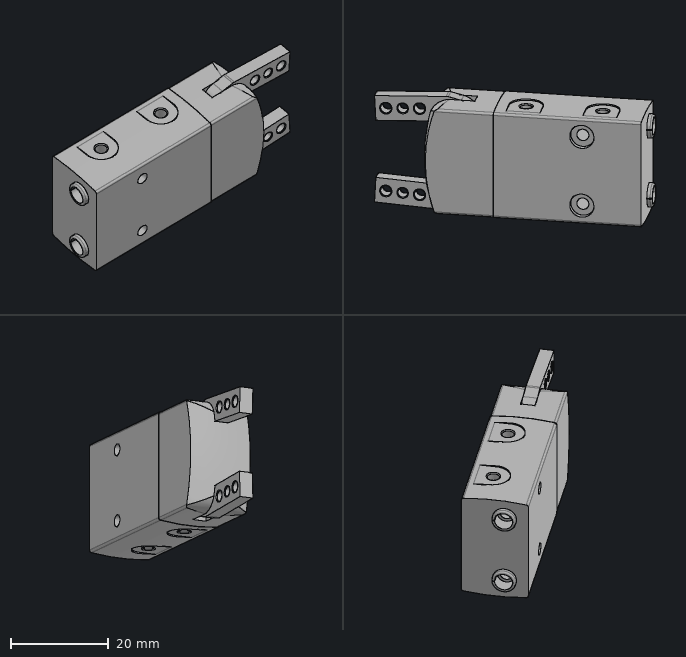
import cadquery as cq
import math

REAR_Y = 1.1
STEP_Y = 31.9
SLOT_END_Y = 36.75
FRONT_Y = 47.2
TIP_Y = 57.7

WIDTH = 14.0
CREST_Z = 11.9
HEAD_WIDTH = 13.8
HEAD_CREST_Z = 11.85
CROWN_RADIUS = 51.95
CORNER_RADIUS = 0.5

DOME_SIDE_RADIUS = 35.8
DOME_PLAN_RADIUS = 21.95
FRONT_ROUNDING = 4.75

PORT_X = 2.0
PORT_Z = 7.5
PORT_DIAMETER = 2.5
SLEEVE_DIAMETER = 5.0
SLEEVE_BORE = 3.75
SLEEVE_LENGTH = 3.0
SLEEVE_LIP_RADIUS = 0.4
SLEEVE_SLIT = 0.2

CROSS_Y = 13.45
COUNTERBORE_DEPTH = 1.2

PAD_X = -2.0
PAD_RADIUS = 3.5
PAD_LEFT_X = -5.5
PAD_STATIONS = (10.0, 25.95)
PAD_HOLE_DIAMETER = 2.5
PAD_HOLE_DEPTH = 4.6
PAD_CHAMFER = 0.25
DRILL_POINT_ANGLE = 118.0

FINGER_WIDTH = 3.0
FINGER_HEIGHT = 5.4
FINGER_ANGLE = math.radians(3.0)
FINGER_CREST_Z = 12.4
CREST_FRONT_Y = 42.75
CREST_REAR_Y = 42.3
HEEL_START_Y = 39.6
HEEL_SLOPE = math.radians(13.0)
HEEL_RADIUS = 4.05
FIRST_HOLE = 2.25
HOLE_PITCH = 3.5
FINGER_HOLE_DIAMETERS = (2.2, 2.0, 2.2)
FINGER_CHAMFER = 0.2

SIDES = (1, -1)


def crown_z(x, crest_z):
    """Height of a crowned top at a distance x from its crest."""
    return crest_z - CROWN_RADIUS + math.sqrt(CROWN_RADIUS**2 - x**2)


def crowned_bar(width, crest_z, start_y, end_y):
    """Bar along Y with flat sides, bulging top and bottom and rounded corners."""
    half_width = width / 2
    edge_z = crown_z(half_width, crest_z)
    return (
        cq.Workplane("XZ", origin=(0, start_y, 0))
        .moveTo(-half_width, -edge_z)
        .threePointArc((0, -crest_z), (half_width, -edge_z))
        .lineTo(half_width, edge_z)
        .threePointArc((0, crest_z), (-half_width, edge_z))
        .close()
        .extrude(start_y - end_y)
        .edges("|Y")
        .fillet(CORNER_RADIUS)
    )


def dome_outline(plane, half_height, rear_y):
    """Side outline of the head, with an arc as its front."""
    arc_end_y = FRONT_Y - DOME_SIDE_RADIUS + math.sqrt(DOME_SIDE_RADIUS**2 - half_height**2)
    return (
        plane
        .moveTo(rear_y, -half_height)
        .lineTo(arc_end_y, -half_height)
        .threePointArc((FRONT_Y, 0), (arc_end_y, half_height))
        .lineTo(rear_y, half_height)
        .close()
    )


def head():
    """Slightly slimmer head whose front is domed both ways and rounded off at top and bottom."""
    axis_y = FRONT_Y - DOME_PLAN_RADIUS
    rounded_front = (
        dome_outline(cq.Workplane("YZ"), HEAD_CREST_Z, STEP_Y)
        .extrude(WIDTH / 2, both=True)
        .edges("|X")
        .edges(">Y")
        .fillet(FRONT_ROUNDING)
    )
    dome = dome_outline(cq.Workplane("YZ"), CREST_Z, axis_y).revolve(360, (axis_y, 0), (axis_y, 1))
    return crowned_bar(HEAD_WIDTH, HEAD_CREST_Z, STEP_Y, TIP_Y).intersect(rounded_front).intersect(dome)


def finger_profile():
    """Upper finger outline in the YZ plane, from its tip back to the slot end."""
    tilt_sin = math.sin(FINGER_ANGLE)
    tilt_cos = math.cos(FINGER_ANGLE)
    tip_z = FINGER_CREST_Z - (TIP_Y - CREST_FRONT_Y) * math.tan(FINGER_ANGLE)
    under_tip_y = TIP_Y - FINGER_HEIGHT * tilt_sin
    under_tip_z = tip_z - FINGER_HEIGHT * tilt_cos
    under_end_z = under_tip_z + (under_tip_y - SLOT_END_Y) * math.tan(FINGER_ANGLE)

    heel_start_z = FINGER_CREST_Z - (CREST_REAR_Y - HEEL_START_Y) * math.tan(HEEL_SLOPE)
    heel_y = HEEL_START_Y + HEEL_RADIUS * math.sin(HEEL_SLOPE)
    heel_z = heel_start_z - HEEL_RADIUS * math.cos(HEEL_SLOPE)
    heel_end_angle = math.asin((heel_y - SLOT_END_Y) / HEEL_RADIUS)
    heel_mid_angle = (HEEL_SLOPE + heel_end_angle) / 2

    def heel_point(angle):
        return (heel_y - HEEL_RADIUS * math.sin(angle), heel_z + HEEL_RADIUS * math.cos(angle))

    return (
        cq.Workplane("YZ")
        .moveTo(TIP_Y, tip_z)
        .lineTo(CREST_FRONT_Y, FINGER_CREST_Z)
        .lineTo(CREST_REAR_Y, FINGER_CREST_Z)
        .lineTo(HEEL_START_Y, heel_start_z)
        .threePointArc(heel_point(heel_mid_angle), heel_point(heel_end_angle))
        .lineTo(SLOT_END_Y, under_end_z)
        .lineTo(under_tip_y, under_tip_z)
        .close()
    )


def finger_hole(index, diameter):
    """Cutter for one cross hole of the upper finger, widening at both faces."""
    along = FIRST_HOLE + index * HOLE_PITCH
    tip_z = FINGER_CREST_Z - (TIP_Y - CREST_FRONT_Y) * math.tan(FINGER_ANGLE)
    down = FINGER_HEIGHT / 2
    hole_y = TIP_Y - along * math.cos(FINGER_ANGLE) - down * math.sin(FINGER_ANGLE)
    hole_z = tip_z + along * math.sin(FINGER_ANGLE) - down * math.cos(FINGER_ANGLE)
    half_width = FINGER_WIDTH / 2
    radius = diameter / 2
    return (
        cq.Workplane("XY")
        .moveTo(-half_width, 0)
        .lineTo(-half_width, radius + FINGER_CHAMFER)
        .lineTo(-half_width + FINGER_CHAMFER, radius)
        .lineTo(half_width - FINGER_CHAMFER, radius)
        .lineTo(half_width, radius + FINGER_CHAMFER)
        .lineTo(half_width, 0)
        .close()
        .revolve(360, (0, 0), (1, 0))
        .translate((0, hole_y, hole_z))
    )


def finger(side):
    """Gripper finger on the upper (+1) or lower (-1) side."""
    body = finger_profile().extrude(FINGER_WIDTH / 2, both=True)
    for index, diameter in enumerate(FINGER_HOLE_DIAMETERS):
        body = body.cut(finger_hole(index, diameter))
    if side < 0:
        body = body.mirror("XY")
    return body


def finger_slot(side):
    """Cutter for a finger's slot: floor along its underside, open at the front and outward."""
    slope = math.tan(FINGER_ANGLE)
    tip_z = FINGER_CREST_Z - (TIP_Y - CREST_FRONT_Y) * slope
    floor_tip_z = tip_z - FINGER_HEIGHT / math.cos(FINGER_ANGLE)
    floor_end_z = floor_tip_z + (TIP_Y - SLOT_END_Y) * slope
    return (
        cq.Workplane("YZ")
        .moveTo(SLOT_END_Y, side * floor_end_z)
        .lineTo(TIP_Y, side * floor_tip_z)
        .lineTo(TIP_Y, side * FINGER_CREST_Z)
        .lineTo(SLOT_END_Y, side * FINGER_CREST_Z)
        .close()
        .extrude(FINGER_WIDTH / 2, both=True)
    )


def sleeve(side):
    """Slit sleeve with a rounded lip, its inner part seated in the rear of the housing."""
    outer = SLEEVE_DIAMETER / 2
    inner = SLEEVE_BORE / 2
    lip = SLEEVE_LIP_RADIUS
    lip_centre = outer - lip
    lip_inner_y = lip - math.sqrt(lip**2 - (lip_centre - inner) ** 2)
    slit = cq.Workplane("XY").box(outer, SLEEVE_LENGTH, SLEEVE_SLIT, centered=(True, False, True))
    return (
        cq.Workplane("XY")
        .moveTo(inner, SLEEVE_LENGTH)
        .lineTo(outer, SLEEVE_LENGTH)
        .lineTo(outer, lip)
        .threePointArc((lip_centre, 0), (inner, lip_inner_y))
        .close()
        .revolve(360, (0, 0), (0, 1))
        .cut(slit.translate((-outer, 0, 0)))
        .translate((PORT_X, 0, side * PORT_Z))
    )


def port(side):
    """Cutter for a rear port: a sleeve seat, then a bore that runs into the cross hole."""
    rear = cq.Workplane("XZ", origin=(PORT_X, 0, side * PORT_Z))
    seat = rear.circle(SLEEVE_DIAMETER / 2).extrude(-SLEEVE_LENGTH)
    bore = rear.circle(PORT_DIAMETER / 2).extrude(-CROSS_Y)
    return seat.union(bore)


def cross_hole(side):
    """Cutter for a cross hole along X, counterbored on the -X side."""
    face = cq.Workplane("YZ", origin=(-WIDTH / 2, CROSS_Y, side * PORT_Z))
    counterbore = face.circle(SLEEVE_DIAMETER / 2).extrude(COUNTERBORE_DEPTH)
    hole = face.circle(PORT_DIAMETER / 2).extrude(WIDTH)
    return counterbore.union(hole)


def pad(station_y, side):
    """Cutter for a flat D-shaped pad with a chamfered blind hole at its centre."""
    floor_z = crown_z(PAD_LEFT_X, CREST_Z)
    radius = PAD_HOLE_DIAMETER / 2
    point_depth = radius / math.tan(math.radians(DRILL_POINT_ANGLE / 2))
    recess = (
        cq.Workplane("XY", origin=(0, station_y, floor_z))
        .moveTo(PAD_LEFT_X, -PAD_RADIUS)
        .lineTo(PAD_X, -PAD_RADIUS)
        .threePointArc((PAD_X + PAD_RADIUS, 0), (PAD_X, PAD_RADIUS))
        .lineTo(PAD_LEFT_X, PAD_RADIUS)
        .close()
        .extrude(CREST_Z)
    )
    hole = (
        cq.Workplane("XZ")
        .moveTo(0, 0)
        .lineTo(radius + PAD_CHAMFER, 0)
        .lineTo(radius, -PAD_CHAMFER)
        .lineTo(radius, -PAD_HOLE_DEPTH)
        .lineTo(0, -PAD_HOLE_DEPTH - point_depth)
        .close()
        .revolve(360, (0, 0), (0, 1))
        .translate((PAD_X, station_y, floor_z))
    )
    cutter = recess.union(hole)
    if side < 0:
        cutter = cutter.mirror("XY")
    return cutter


def housing():
    """Main body with its head, ports, cross holes, pads and finger slots."""
    body = crowned_bar(WIDTH, CREST_Z, REAR_Y, STEP_Y).union(head())
    for side in SIDES:
        body = body.cut(port(side)).cut(cross_hole(side)).cut(finger_slot(side))
        for station_y in PAD_STATIONS:
            body = body.cut(pad(station_y, side))
    return body


gripper_housing = housing()
fingers = [finger(side) for side in SIDES]
sleeves = [sleeve(side) for side in SIDES]

result = cq.Compound.makeCompound(
    [
        gripper_housing.val(),
        *[part.val() for part in fingers],
        *[part.val() for part in sleeves],
    ]
)